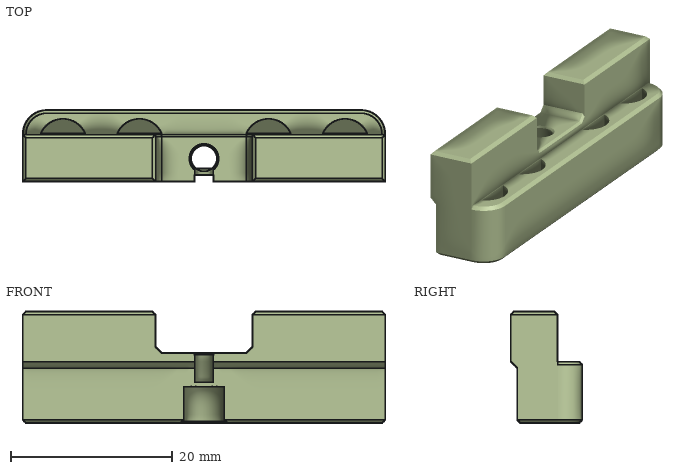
import cadquery as cq

length = 45.0
depth = 8.9
height = 13.85
edge_chamfer = 0.4

upright_depth = 5.85
front_recess = 0.8
overhang_z = 7.65

ledge_z = 7.65
ledge_corner_radius = 3.0

notch_width = 12.0
notch_floor_z = 8.75
notch_corner = 0.75
notch_rear_chamfer = 0.25
notch_half = notch_width / 2

screw_y = 2.9
hole_diameter = 3.2
head_diameter = 6.5
rim_chamfer = 0.22
slot_width = 2.35
slot_floor_z = 5.1
hole_step_z = 4.8
head_top_z = 4.55
web_edge_y = 1.65

pocket_diameter = 6.0
pocket_y = 4.8
pocket_front_y = upright_depth + 0.15
pocket_depth = 2.8
pocket_offsets = (8.0, 17.5)


def block(x_size, y_min, y_max, z_min, z_max):
    """Box centred on X between the given Y and Z limits."""
    box = cq.Workplane("XY").box(x_size, y_max - y_min, z_max - z_min, centered=(True, False, False))
    return box.translate((0, y_min, z_min))


def cylinder(diameter, x, y, z_min, z_max):
    """Vertical cylinder between two heights."""
    return cq.Workplane("XY", origin=(x, y, z_min)).circle(diameter / 2).extrude(z_max - z_min)


def screw_cone(bottom_diameter, top_diameter, z_min):
    """Conical rim on the screw axis, one rim chamfer tall."""
    cone = cq.Workplane("XY", origin=(0, screw_y, z_min)).circle(bottom_diameter / 2)
    return cone.workplane(offset=rim_chamfer).circle(top_diameter / 2).loft()


def make_base():
    """Lower body with rounded rear corners and chamfered top and bottom rims."""
    base = block(length, front_recess, depth, 0, ledge_z)
    base = base.edges("|Z and >Y").fillet(ledge_corner_radius)
    return base.faces("<Z or >Z").chamfer(edge_chamfer)


def make_notch():
    """Gap between the upper blocks, with bevelled floor corners."""
    outline = [
        (-notch_half, height),
        (-notch_half, notch_floor_z + notch_corner),
        (-notch_half + notch_corner, notch_floor_z),
        (notch_half - notch_corner, notch_floor_z),
        (notch_half, notch_floor_z + notch_corner),
        (notch_half, height),
    ]
    return cq.Workplane("XZ").polyline(outline).close().extrude(-depth)


def make_upright():
    """Notched bar with the front overhang; it starts above the bottom chamfer of the base."""
    profile = [
        (front_recess, edge_chamfer),
        (front_recess, overhang_z - front_recess),
        (0, overhang_z),
        (0, height),
        (upright_depth, height),
        (upright_depth, edge_chamfer),
    ]
    bar = cq.Workplane("YZ").polyline(profile).close().extrude(length / 2, both=True)
    bar = bar.cut(make_notch())
    bar = bar.faces(">Z").chamfer(edge_chamfer)

    margin = 0.05
    rear_floor_edges = cq.selectors.BoxSelector(
        (-notch_half, upright_depth - margin, notch_floor_z - margin),
        (notch_half, upright_depth + margin, notch_floor_z + notch_corner),
    )
    return bar.edges(rear_floor_edges).chamfer(notch_rear_chamfer)


def make_screw_passage():
    """Screw hole, its front slot, the opening through the web and the head recess."""
    hole = cylinder(hole_diameter, 0, screw_y, hole_step_z, notch_floor_z)
    hole_rim = screw_cone(hole_diameter, hole_diameter + 2 * rim_chamfer, notch_floor_z - rim_chamfer)
    slot = block(slot_width, 0, screw_y, slot_floor_z, notch_floor_z)

    web_opening = cylinder(hole_diameter, 0, screw_y, head_top_z, hole_step_z)
    web_opening = web_opening.intersect(block(length, web_edge_y, depth, head_top_z, hole_step_z))

    head = cylinder(head_diameter, 0, screw_y, 0, head_top_z)
    head_rim = screw_cone(head_diameter + 2 * rim_chamfer, head_diameter, 0)
    return hole.union(hole_rim).union(slot).union(web_opening).union(head).union(head_rim)


def make_pockets():
    """Four blind round pockets behind the upright, mirrored about the middle."""
    pockets = cq.Workplane("XY")
    for offset in pocket_offsets:
        for x in (-offset, offset):
            pocket = cylinder(pocket_diameter, x, pocket_y, ledge_z - pocket_depth, ledge_z)
            pockets = pockets.union(pocket)
    return pockets.intersect(block(length, pocket_front_y, depth, 0, ledge_z))


result = make_base().union(make_upright()).cut(make_screw_passage()).cut(make_pockets())